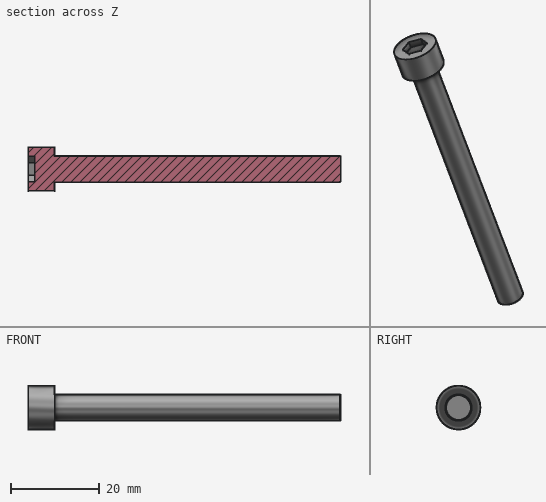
import cadquery as cq
import math

total_length = 71.0
head_diameter = 10.0
shank_diameter = 6.0
head_length = shank_diameter
tip_chamfer = 0.2
socket_across_flats = 5.0
socket_depth = 1.5

head_face_x = -total_length / 2


def cylinder_along_x(start_x, diameter, length):
    return cq.Workplane("YZ", origin=(start_x, 0, 0)).circle(diameter / 2).extrude(length)


head = cylinder_along_x(head_face_x, head_diameter, head_length)

shank = cylinder_along_x(head_face_x + head_length, shank_diameter, total_length - head_length)
shank = shank.faces(">X").edges().chamfer(tip_chamfer)

socket_across_corners = socket_across_flats / math.cos(math.pi / 6)
socket = (
    cq.Workplane("YZ", origin=(head_face_x, 0, 0))
    .polygon(6, socket_across_corners)
    .extrude(socket_depth)
)

result = head.union(shank).cut(socket)